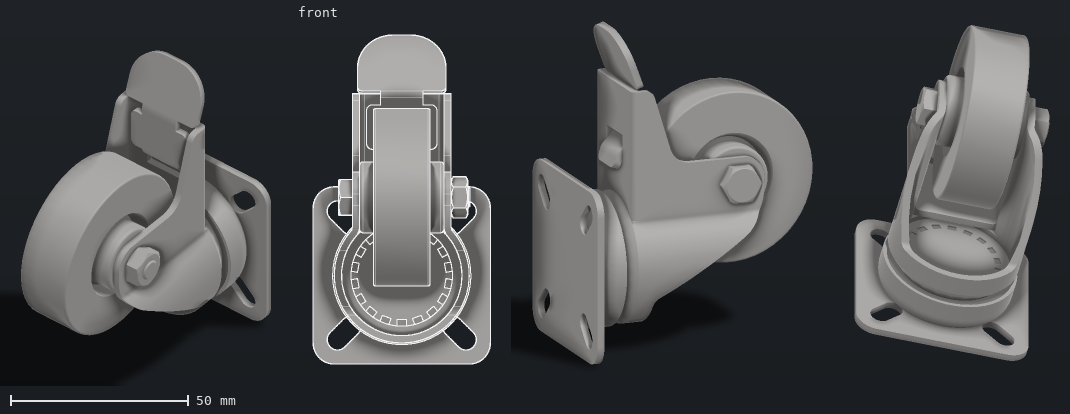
import cadquery as cq
import math


PLATE_SIDE = 50.0
PLATE_THICKNESS = 2.0
PLATE_CORNER_RADIUS = 6.0
SLOT_RADIUS = 2.9
SLOT_OUTER_OFFSET = 18.1
SLOT_INNER_OFFSET = 14.4
CUP_RADIUS = 19.5
CUP_FRONT_DEPTH = 11.1
CUP_EDGE_RADIUS = 5.6
CUP_EDGE_DEPTH = 6.0
CUP_RIM_WIDTH = 1.0
CUP_RECESS_DEPTH = 0.9
NOTCH_COUNT = 18
NOTCH_WIDTH = 2.6
NOTCH_LENGTH = 1.9
NOTCH_DEPTH = 0.5

SHEET = 2.0
SHELL_RADIUS = 19.0
SHELL_BACK_DEPTH = 14.8
BASE_CONE_SLOPE = 0.75
PIVOT_RADIUS = 14.3
FLOOR_DEPTH = 13.2
CHEEK_HALF_SPAN = 13.9
CHEEK_TOP = 51.2
CHEEK_TOP_DEPTH = 21.1
CHEEK_ARM_TOP = 29.1
CHEEK_ARM_BACK_DEPTH = 27.8
FORK_FRONT_DEPTH = 54.8
FORK_FRONT_BOTTOM = 11.3
COLLAR_FRONT_DEPTH = 20.6
COLLAR_TOP = -9.6
CHEEK_TOP_RADIUS = 2.8
CHEEK_INNER_RADIUS = 6.5
ARM_TIP_RADIUS = 6.1
FORK_FRONT_RADIUS = 14.8
COLLAR_CORNER_RADIUS = 2.8
CHANNEL_OUTER_RADIUS = 1.7
CHANNEL_INNER_RADIUS = 1.4
WINDOW_HALF_WIDTH = 6.3
WINDOW_BOTTOM = 29.0
WINDOW_TOP = 37.1

OVERALL_DEPTH = 72.0
AXLE_HEIGHT = 22.0
WHEEL_DIAMETER = 50.0
WHEEL_WIDTH = 16.05
WHEEL_EDGE_RADIUS = 0.65
HUB_RADIUS = 10.0
HUB_EDGE_RADIUS = 1.0
RECESS_OUTER_RADIUS = 12.9
RECESS_FLOOR_RADIUS = 10.95
RECESS_DEPTH = 4.0

BOLT_RADIUS = 3.0
BOLT_END = 19.2
BOLT_END_CHAMFER = 0.5
HEX_ACROSS_FLATS = 10.1
HEX_CHAMFER_RADIUS = 4.8
HEX_CHAMFER_SLOPE = math.tan(math.radians(30))
HEAD_HEIGHT = 3.9
NUT_HEIGHT = 4.7

LEVER_THICKNESS = 2.0
LEVER_GAP = 0.5
LEVER_TILT = 20.0
STRIP_HALF_WIDTH = 6.0
PANEL_HALF_WIDTH = 9.9
PANEL_BOTTOM = 35.5
PANEL_TOP = 48.1
PANEL_CORNER_RADIUS = 1.7
NECK_BEND_HEIGHT = 50.1
NECK_BEND_RADIUS = 4.45
PADDLE_HALF_WIDTH = 12.5
PADDLE_LENGTH = 16.8
PADDLE_TOP_RADIUS = 10.0
PADDLE_BOTTOM_RADIUS = 1.4
HOOK_BEND_HEIGHT = 36.2
HOOK_BEND_RADIUS = 2.8
HOOK_SLANT = 45.0
HOOK_SLANT_LENGTH = 4.0
HOOK_TIP_BEND_RADIUS = 2.8
HOOK_TIP_TILT = 17.0
HOOK_TIP_LENGTH = 3.25
HOOK_TIP_CORNER_RADIUS = 2.0

WHEEL_RADIUS = WHEEL_DIAMETER / 2
AXLE_DEPTH = OVERALL_DEPTH - WHEEL_RADIUS
CHEEK_INNER = CHEEK_HALF_SPAN - SHEET
BEND_CENTER_X = CHEEK_HALF_SPAN + SHEET
BEND_CENTER_Z = math.sqrt((SHELL_RADIUS + SHEET) ** 2 - BEND_CENTER_X**2)
BACK_WALL_FRONT = SHELL_BACK_DEPTH + SHEET
CUP_FLOOR_DEPTH = CUP_FRONT_DEPTH - CUP_RECESS_DEPTH
LEVER_MID_DEPTH = BACK_WALL_FRONT + LEVER_GAP + LEVER_THICKNESS / 2


def facing_front(depth):
    """Workplane at the given depth with X right and Z up, that extrudes forward (-Y)."""
    return cq.Workplane("XZ", origin=(0, -depth, 0))


def on_axle():
    """Workplane through the wheel axle with local x along X and local y up."""
    return cq.Workplane("XZ", origin=(0, -AXLE_DEPTH, AXLE_HEIGHT))


def facing_right(x):
    """Workplane square to the axle at the given X, centred on it, that extrudes along +X."""
    return on_axle().transformed(rotate=(0, 90, 0)).workplane(offset=x)


def about_swivel(profile):
    """Ring turned about the swivel axis from (radius, depth) points."""
    points = [(-depth, radius) for radius, depth in profile]
    return cq.Workplane("YZ").polyline(points).close().revolve(360, (0, 0), (1, 0))


def make_plate():
    plate = (
        facing_front(0)
        .rect(PLATE_SIDE, PLATE_SIDE)
        .extrude(PLATE_THICKNESS)
        .edges("|Y")
        .fillet(PLATE_CORNER_RADIUS)
    )
    slot_center = (SLOT_OUTER_OFFSET + SLOT_INNER_OFFSET) / 2 * math.sqrt(2)
    slot_length = (SLOT_OUTER_OFFSET - SLOT_INNER_OFFSET) * math.sqrt(2) + 2 * SLOT_RADIUS
    for angle in (45, 135, 225, 315):
        slot = (
            facing_front(0)
            .center(slot_center, 0)
            .slot2D(slot_length, 2 * SLOT_RADIUS)
            .extrude(PLATE_THICKNESS)
            .rotate((0, 0, 0), (0, 1, 0), angle)
        )
        plate = plate.cut(slot)

    edge_rise = CUP_EDGE_DEPTH - PLATE_THICKNESS
    edge_inset = CUP_EDGE_RADIUS - math.sqrt(CUP_EDGE_RADIUS**2 - edge_rise**2)
    cup = (
        cq.Workplane("YZ")
        .moveTo(-PLATE_THICKNESS, 0)
        .lineTo(-PLATE_THICKNESS, CUP_RADIUS - edge_inset)
        .radiusArc((-CUP_EDGE_DEPTH, CUP_RADIUS), -CUP_EDGE_RADIUS)
        .lineTo(-CUP_FRONT_DEPTH, CUP_RADIUS)
        .lineTo(-CUP_FRONT_DEPTH, 0)
        .close()
        .revolve(360, (0, 0), (1, 0))
    )
    recess = facing_front(CUP_FLOOR_DEPTH).circle(CUP_RADIUS - CUP_RIM_WIDTH).extrude(CUP_RECESS_DEPTH)
    pivot = facing_front(CUP_FLOOR_DEPTH).circle(PIVOT_RADIUS).extrude(FLOOR_DEPTH - CUP_FLOOR_DEPTH)
    plate = plate.union(cup.cut(recess)).union(pivot)

    for index in range(NOTCH_COUNT):
        notch = (
            facing_front(FLOOR_DEPTH - NOTCH_DEPTH)
            .center(0, NOTCH_LENGTH / 2 - PIVOT_RADIUS)
            .rect(NOTCH_WIDTH, NOTCH_LENGTH)
            .extrude(NOTCH_DEPTH)
            .rotate((0, 0, 0), (0, 1, 0), index * 360 / NOTCH_COUNT)
        )
        plate = plate.cut(notch)
    return plate


def lower_section(half_span, shell_radius):
    """Round lower part of the fork section, flared out from the cheeks, filled solid."""
    reach = shell_radius / math.hypot(BEND_CENTER_X, BEND_CENTER_Z)
    tangent_x = BEND_CENTER_X * reach
    tangent_z = BEND_CENTER_Z * reach
    bend_radius = BEND_CENTER_X - half_span
    return (
        facing_front(SHELL_BACK_DEPTH)
        .moveTo(-half_span, BEND_CENTER_Z)
        .radiusArc((-tangent_x, tangent_z), bend_radius)
        .threePointArc((0, -shell_radius), (tangent_x, tangent_z))
        .radiusArc((half_span, BEND_CENTER_Z), bend_radius)
        .close()
        .extrude(FORK_FRONT_DEPTH - SHELL_BACK_DEPTH)
    )


def channel_block(half_span, back_depth, corner_radius):
    """Upper block between or round the cheeks, with rounded back corners."""
    return (
        facing_front(back_depth)
        .moveTo(-half_span, BEND_CENTER_Z)
        .lineTo(half_span, BEND_CENTER_Z)
        .lineTo(half_span, CHEEK_TOP)
        .lineTo(-half_span, CHEEK_TOP)
        .close()
        .extrude(FORK_FRONT_DEPTH - back_depth)
        .edges("|Z and >Y")
        .fillet(corner_radius)
    )


def fork_side_outline():
    """Side shape of the fork, as a slab across its whole width."""
    rounded_corners = [
        (CHEEK_TOP_DEPTH, CHEEK_TOP, CHEEK_TOP_RADIUS),
        (CHEEK_ARM_BACK_DEPTH, CHEEK_ARM_TOP, CHEEK_INNER_RADIUS),
        (FORK_FRONT_DEPTH, CHEEK_ARM_TOP, ARM_TIP_RADIUS),
        (FORK_FRONT_DEPTH, FORK_FRONT_BOTTOM, FORK_FRONT_RADIUS),
        (COLLAR_FRONT_DEPTH, COLLAR_TOP, COLLAR_CORNER_RADIUS),
    ]
    slab = (
        cq.Workplane("YZ")
        .moveTo(-SHELL_BACK_DEPTH, CHEEK_TOP)
        .polyline([(-depth, height) for depth, height, _ in rounded_corners], includeCurrent=True)
        .lineTo(-COLLAR_FRONT_DEPTH, -SHELL_RADIUS)
        .lineTo(-SHELL_BACK_DEPTH, -SHELL_RADIUS)
        .close()
        .extrude(SHELL_RADIUS, both=True)
    )
    for depth, height, radius in rounded_corners:
        edge_point = cq.selectors.NearestToPointSelector((0, -depth, height))
        slab = slab.edges("|X").edges(edge_point).fillet(radius)
    return slab


def make_fork():
    lower = lower_section(CHEEK_HALF_SPAN, SHELL_RADIUS).cut(
        lower_section(CHEEK_INNER, SHELL_RADIUS - SHEET)
    )
    channel = channel_block(CHEEK_HALF_SPAN, SHELL_BACK_DEPTH, CHANNEL_OUTER_RADIUS).cut(
        channel_block(CHEEK_INNER, BACK_WALL_FRONT, CHANNEL_INNER_RADIUS)
    )
    fork = lower.union(channel).intersect(fork_side_outline())

    cone_back_radius = SHELL_RADIUS - BASE_CONE_SLOPE * (SHELL_BACK_DEPTH - CUP_FLOOR_DEPTH)
    base = about_swivel(
        [
            (PIVOT_RADIUS, CUP_FLOOR_DEPTH),
            (cone_back_radius, CUP_FLOOR_DEPTH),
            (SHELL_RADIUS, SHELL_BACK_DEPTH),
            (SHELL_RADIUS - SHEET, SHELL_BACK_DEPTH),
            (SHELL_RADIUS - SHEET, FLOOR_DEPTH),
            (PIVOT_RADIUS, FLOOR_DEPTH),
        ]
    )
    window = (
        facing_front(SHELL_BACK_DEPTH)
        .center(0, (WINDOW_BOTTOM + WINDOW_TOP) / 2)
        .rect(2 * WINDOW_HALF_WIDTH, WINDOW_TOP - WINDOW_BOTTOM)
        .extrude(SHEET)
    )
    bolt_hole = facing_right(0).circle(BOLT_RADIUS).extrude(CHEEK_HALF_SPAN, both=True)
    return fork.union(base).cut(window).cut(bolt_hole)


def make_wheel():
    half_width = WHEEL_WIDTH / 2
    floor_x = half_width - RECESS_DEPTH
    hub_shoulder_x = CHEEK_INNER - HUB_EDGE_RADIUS
    tread_x = half_width - WHEEL_EDGE_RADIUS
    foot_x = floor_x + RECESS_FLOOR_RADIUS - HUB_RADIUS
    return (
        on_axle()
        .moveTo(-CHEEK_INNER, BOLT_RADIUS)
        .lineTo(-CHEEK_INNER, HUB_RADIUS - HUB_EDGE_RADIUS)
        .radiusArc((-hub_shoulder_x, HUB_RADIUS), HUB_EDGE_RADIUS)
        .lineTo(-foot_x, HUB_RADIUS)
        .lineTo(-floor_x, RECESS_FLOOR_RADIUS)
        .lineTo(-half_width, RECESS_OUTER_RADIUS)
        .lineTo(-half_width, WHEEL_RADIUS - WHEEL_EDGE_RADIUS)
        .radiusArc((-tread_x, WHEEL_RADIUS), WHEEL_EDGE_RADIUS)
        .lineTo(tread_x, WHEEL_RADIUS)
        .radiusArc((half_width, WHEEL_RADIUS - WHEEL_EDGE_RADIUS), WHEEL_EDGE_RADIUS)
        .lineTo(half_width, RECESS_OUTER_RADIUS)
        .lineTo(floor_x, RECESS_FLOOR_RADIUS)
        .lineTo(foot_x, HUB_RADIUS)
        .lineTo(hub_shoulder_x, HUB_RADIUS)
        .radiusArc((CHEEK_INNER, HUB_RADIUS - HUB_EDGE_RADIUS), HUB_EDGE_RADIUS)
        .lineTo(CHEEK_INNER, BOLT_RADIUS)
        .close()
        .revolve(360, (0, 0), (1, 0))
    )


def hexagon(start_x, height, corner_angle):
    """Hexagonal block along the axle; at corner_angle 0 two of its corners lie level with the axle."""
    across_corners = HEX_ACROSS_FLATS / math.cos(math.radians(30))
    return (
        facing_right(start_x)
        .transformed(rotate=(0, 0, corner_angle))
        .polygon(6, across_corners)
        .extrude(height)
    )


def chamfer_cone(end_x, direction):
    """Cone that chamfers the hexagon corners at end_x, widening in the given X direction."""
    length = 2 * NUT_HEIGHT
    wide_radius = HEX_CHAMFER_RADIUS + length / HEX_CHAMFER_SLOPE
    return (
        on_axle()
        .polyline(
            [
                (end_x, 0),
                (end_x, HEX_CHAMFER_RADIUS),
                (end_x + direction * length, wide_radius),
                (end_x + direction * length, 0),
            ]
        )
        .close()
        .revolve(360, (0, 0), (1, 0))
    )


def make_bolt():
    head_end = -CHEEK_HALF_SPAN - HEAD_HEIGHT
    head = hexagon(head_end, HEAD_HEIGHT, 0).intersect(chamfer_cone(head_end, 1))
    shank = (
        facing_right(-CHEEK_HALF_SPAN)
        .circle(BOLT_RADIUS)
        .extrude(BOLT_END + CHEEK_HALF_SPAN)
        .faces(">X")
        .chamfer(BOLT_END_CHAMFER)
    )
    return head.union(shank)


def make_nut():
    nut_end = CHEEK_HALF_SPAN + NUT_HEIGHT
    hole = facing_right(CHEEK_HALF_SPAN).circle(BOLT_RADIUS).extrude(NUT_HEIGHT)
    return (
        hexagon(CHEEK_HALF_SPAN, NUT_HEIGHT, 90)
        .intersect(chamfer_cone(nut_end, -1))
        .intersect(chamfer_cone(CHEEK_HALF_SPAN, 1))
        .cut(hole)
    )


def bend_end(start, radius, from_angle, to_angle):
    """End of an arc that goes down from start, its slant off the vertical changing between angles."""
    first = math.radians(from_angle)
    last = math.radians(to_angle)
    turn = math.copysign(radius, to_angle - from_angle)
    return (
        start[0] + turn * (math.cos(first) - math.cos(last)),
        start[1] - turn * (math.sin(last) - math.sin(first)),
    )


def leg_end(start, length, angle):
    """End of a straight leg that goes down from start and slants back by angle."""
    slant = math.radians(angle)
    return (start[0] + length * math.sin(slant), start[1] - length * math.cos(slant))


def neck_top():
    """Middle of the strip (Y, Z) where the neck bend meets the paddle."""
    tilt = math.radians(LEVER_TILT)
    back = NECK_BEND_RADIUS * (1 - math.cos(tilt))
    return (back - LEVER_MID_DEPTH, NECK_BEND_HEIGHT + NECK_BEND_RADIUS * math.sin(tilt))


def make_strip():
    """Bent strip that runs from the paddle down the panel and back through the window."""
    neck_bottom = (-LEVER_MID_DEPTH, NECK_BEND_HEIGHT)
    hook_start = (-LEVER_MID_DEPTH, HOOK_BEND_HEIGHT)
    slant_start = bend_end(hook_start, HOOK_BEND_RADIUS, 0, HOOK_SLANT)
    slant_end = leg_end(slant_start, HOOK_SLANT_LENGTH, HOOK_SLANT)
    tip_start = bend_end(slant_end, HOOK_TIP_BEND_RADIUS, HOOK_SLANT, HOOK_TIP_TILT)
    tip_end = leg_end(tip_start, HOOK_TIP_LENGTH, HOOK_TIP_TILT)
    path = (
        cq.Workplane("YZ")
        .moveTo(*tip_end)
        .lineTo(*tip_start)
        .tangentArcPoint(slant_end, relative=False)
        .lineTo(*slant_start)
        .tangentArcPoint(hook_start, relative=False)
        .lineTo(*neck_bottom)
        .tangentArcPoint(neck_top(), relative=False)
    )
    tilt = math.radians(HOOK_TIP_TILT)
    section_plane = cq.Plane(
        origin=(0, *tip_end), xDir=(1, 0, 0), normal=(0, -math.sin(tilt), math.cos(tilt))
    )
    section = cq.Workplane(section_plane).rect(2 * STRIP_HALF_WIDTH, LEVER_THICKNESS)
    tip_corners = cq.selectors.ParallelDirSelector(cq.Vector(0, math.cos(tilt), math.sin(tilt)))
    return section.sweep(path).edges(tip_corners).edges("<Z").fillet(HOOK_TIP_CORNER_RADIUS)


def rounded_sheet(plane, half_width, bottom, top, bottom_radius, top_radius):
    """Sheet of the lever's thickness centred on plane, with rounded corners."""
    side = top - top_radius
    bottom_side = bottom + bottom_radius
    flat_top = half_width - top_radius
    flat_bottom = half_width - bottom_radius
    return (
        cq.Workplane(plane)
        .moveTo(-flat_bottom, bottom)
        .lineTo(flat_bottom, bottom)
        .radiusArc((half_width, bottom_side), -bottom_radius)
        .lineTo(half_width, side)
        .radiusArc((flat_top, top), -top_radius)
        .lineTo(-flat_top, top)
        .radiusArc((-half_width, side), -top_radius)
        .lineTo(-half_width, bottom_side)
        .radiusArc((-flat_bottom, bottom), -bottom_radius)
        .close()
        .extrude(LEVER_THICKNESS / 2, both=True)
    )


def make_lever():
    panel_plane = cq.Plane(origin=(0, -LEVER_MID_DEPTH, 0), xDir=(1, 0, 0), normal=(0, -1, 0))
    panel = rounded_sheet(
        panel_plane,
        PANEL_HALF_WIDTH,
        PANEL_BOTTOM,
        PANEL_TOP,
        PANEL_CORNER_RADIUS,
        PANEL_CORNER_RADIUS,
    )
    tilt = math.radians(LEVER_TILT)
    paddle_plane = cq.Plane(
        origin=(0, *neck_top()), xDir=(1, 0, 0), normal=(0, -math.cos(tilt), math.sin(tilt))
    )
    paddle = rounded_sheet(
        paddle_plane,
        PADDLE_HALF_WIDTH,
        0,
        PADDLE_LENGTH,
        PADDLE_BOTTOM_RADIUS,
        PADDLE_TOP_RADIUS,
    )
    return make_strip().union(panel).union(paddle)


plate = make_plate()
fork = make_fork()
wheel = make_wheel()
bolt = make_bolt()
nut = make_nut()
lever = make_lever()

bodies = (plate, fork, wheel, bolt, nut, lever)

result = cq.Compound.makeCompound([body.solids().val() for body in bodies])